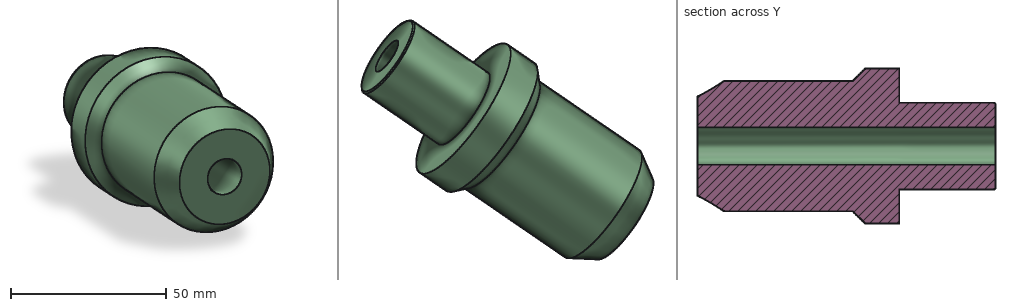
import cadquery as cq

total_length = 96.0
shank_length = 31.0
shank_diameter = 28.0
shank_chamfer = 0.5
flange_thickness = 10.9
flange_diameter = 50.0
body_diameter = 42.0
shoulder_length = 4.0
tip_length = 8.6
tip_diameter = 31.9
bore_diameter = 12.0

shank_start = 0.0
flange_start = shank_start + shank_length
flange_end = flange_start + flange_thickness
body_start = flange_end + shoulder_length
tip_end = shank_start + total_length
tip_start = tip_end - tip_length

bore_radius = bore_diameter / 2
shank_radius = shank_diameter / 2
flange_radius = flange_diameter / 2
body_radius = body_diameter / 2
tip_radius = tip_diameter / 2

half_section = (
    cq.Workplane("XY")
    .moveTo(shank_start, bore_radius)
    .lineTo(shank_start, shank_radius - shank_chamfer)
    .lineTo(shank_start + shank_chamfer, shank_radius)
    .lineTo(flange_start, shank_radius)
    .lineTo(flange_start, flange_radius)
    .lineTo(flange_end, flange_radius)
    .lineTo(body_start, body_radius)
    .lineTo(tip_start, body_radius)
    .lineTo(tip_end, tip_radius)
    .lineTo(tip_end, bore_radius)
    .close()
)

result = half_section.revolve(360, (0, 0, 0), (1, 0, 0))